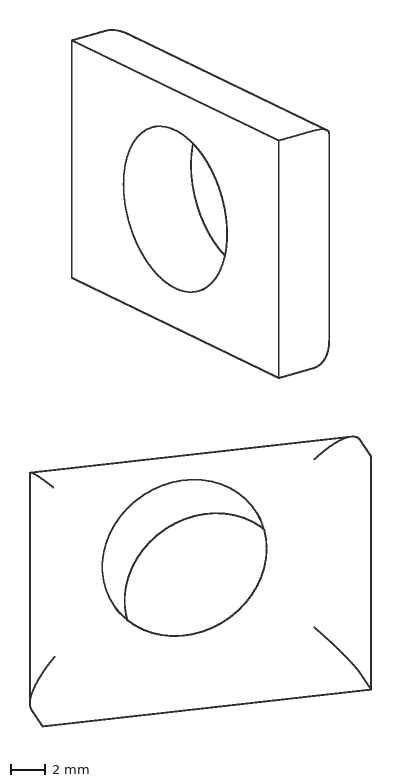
import cadquery as cq

length = 20.0
height = 15.02
thickness = 5.0
edge_radius = 2.5
hole_diameter = 10.0

plate = cq.Workplane("XY").box(length, thickness, height)

rounded_plate = plate.faces(">Y").edges().fillet(edge_radius)

result = rounded_plate.faces("<Y").workplane(centerOption="CenterOfBoundBox").hole(hole_diameter)